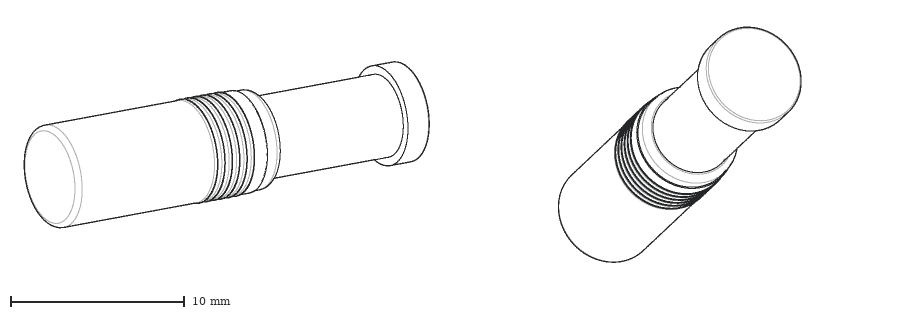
import cadquery as cq


total_length = 24.0
front_end = -total_length / 2
back_end = front_end + total_length

head_diameter = 5.85
head_length = 1.5
head_edge_radius = 0.1

neck_diameter = 4.85
shoulder_from_back = 10.0

collar_diameter = head_diameter
collar_length = 1.1
collar_edge_radius = 0.4

sleeve_diameter = 6.0
sleeve_edge_radius = 0.3

ridge_diameter = 6.1
ridge_count = 6
ridge_pitch = 0.5
ridge_width = 0.2
first_ridge_from_shoulder = 2.0

shoulder_y = back_end - shoulder_from_back
collar_start_y = shoulder_y - collar_length
first_ridge_y = shoulder_y - first_ridge_from_shoulder


def cylinder(diameter, start_y, end_y):
    """Solid cylinder on the Y axis from start_y up to end_y."""
    return (
        cq.Workplane("XZ", origin=(0, start_y, 0))
        .circle(diameter / 2)
        .extrude(start_y - end_y)
    )


def make_head():
    head = cylinder(head_diameter, back_end - head_length, back_end)
    return head.faces(">Y").edges().fillet(head_edge_radius)


def make_neck():
    return cylinder(neck_diameter, shoulder_y, back_end - head_length)


def make_collar():
    collar = cylinder(collar_diameter, collar_start_y, shoulder_y)
    return collar.faces(">Y").edges().fillet(collar_edge_radius)


def make_sleeve():
    sleeve = cylinder(sleeve_diameter, front_end, collar_start_y)
    return sleeve.faces("<Y").edges().fillet(sleeve_edge_radius)


def make_ridge(crest_y):
    """Cone-shaped ring, square to the axis at its crest and tapering down towards -Y."""
    return (
        cq.Workplane("XY")
        .moveTo(0, crest_y)
        .lineTo(ridge_diameter / 2, crest_y)
        .lineTo(sleeve_diameter / 2, crest_y - ridge_width)
        .lineTo(0, crest_y - ridge_width)
        .close()
        .revolve(360, (0, 0, 0), (0, 1, 0))
    )


result = make_sleeve().union(make_collar()).union(make_neck()).union(make_head())
for index in range(ridge_count):
    result = result.union(make_ridge(first_ridge_y - index * ridge_pitch))